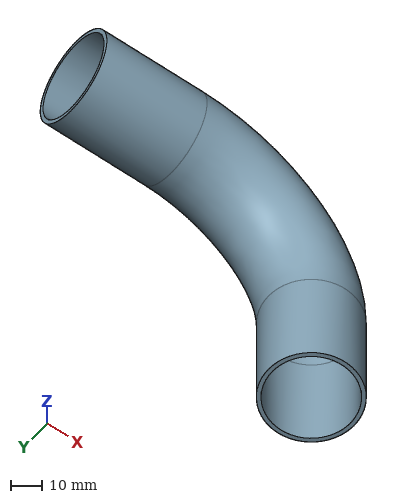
import cadquery as cq
import math

overall_size = 112.5
outer_diameter = 35.0
inner_diameter = 32.0
leg_length = 40.0

bend_radius = overall_size - leg_length - outer_diameter / 2
diagonal = bend_radius * math.sqrt(0.5)

bend_end_x = leg_length + bend_radius
centreline = (
    cq.Workplane("XZ")
    .lineTo(leg_length, 0)
    .threePointArc(
        (leg_length + diagonal, diagonal - bend_radius),
        (bend_end_x, -bend_radius),
    )
    .lineTo(bend_end_x, -bend_radius - leg_length)
)

result = (
    cq.Workplane("YZ")
    .circle(outer_diameter / 2)
    .circle(inner_diameter / 2)
    .sweep(centreline)
)